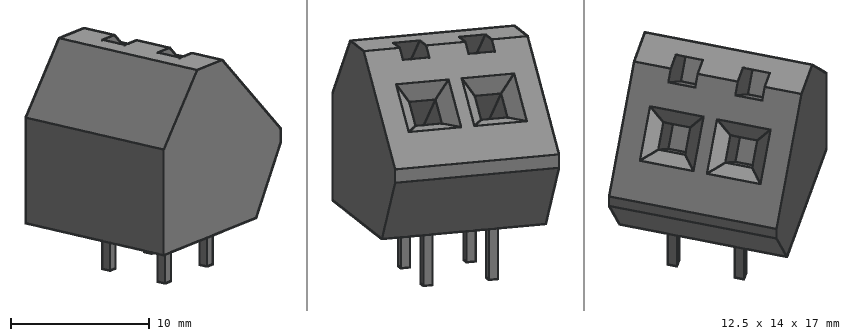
import cadquery as cq

width = 12.5
depth = 14.0
total_height = 17.0
pin_length = 4.0
height = total_height - pin_length
front_edge_z = 8.0
top_front_y = 4.0
ridge_y = depth / 2
back_drop = depth - ridge_y
back_top_z = height - back_drop
back_bottom_z = 5.0
base_back_y = 11.05

pole_pitch = 5.0
pole_xs = [-pole_pitch / 2, pole_pitch / 2]

bore_side = 2.0
bore_depth = 5.0
funnel_side = 4.0
funnel_angle = 45
funnel_depth = (funnel_side - bore_side) / 2
overshoot = 1.7

pin_side = 0.7
pin_ys = [5.02, 5.02 + pole_pitch]
pin_embed = 0.17


def make_housing():
    outline = [
        (0, 0),
        (0, front_edge_z),
        (top_front_y, height),
        (ridge_y, height),
        (depth, back_top_z),
        (depth, back_bottom_z),
        (base_back_y, 0),
    ]
    return cq.Workplane("YZ").polyline(outline).close().extrude(width / 2, both=True)


def slope_plane(x, y):
    """Plane lying in the rear slope at (x, y), with its normal pointing out."""
    z = height - (y - ridge_y)
    return cq.Workplane(cq.Plane(origin=(x, y, z), xDir=(1, 0, 0), normal=(0, 1, 1)))


def make_bore(x, y):
    """Square blind bore, extended outwards past the slope."""
    start = slope_plane(x, y).workplane(offset=overshoot)
    return start.rect(bore_side, bore_side).extrude(-(bore_depth + overshoot))


def make_wire_entry(x):
    """Square bore with a tapered lead-in, centred on the rear slope."""
    y = (ridge_y + depth) / 2
    funnel = slope_plane(x, y).rect(funnel_side, funnel_side).extrude(-funnel_depth, taper=funnel_angle)
    return funnel.union(make_bore(x, y))


def make_pin(x, y):
    base = cq.Workplane("XY", origin=(x, y, -pin_length))
    return base.rect(pin_side, pin_side).extrude(pin_length + pin_embed)


result = make_housing()
for pole_x in pole_xs:
    result = result.cut(make_wire_entry(pole_x))
    result = result.cut(make_bore(pole_x, ridge_y))
    for pin_y in pin_ys:
        result = result.union(make_pin(pole_x, pin_y))